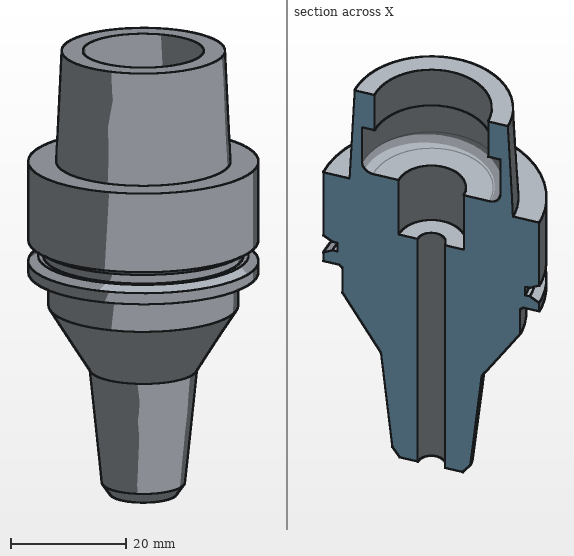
import cadquery as cq
import math

taper_top_z = 20.0
nose_bottom_z = -60.0
flange_bottom_z = -20.0

taper_base_radius = 15.15
taper_top_radius = 14.2

flange_radius = 20.0
groove_radius = 17.4
groove_center_z = -16.1
groove_floor_width = 1.8
groove_mouth_width = 3.8
groove_wall_angle = math.radians(30)
groove_wall_height = (groove_mouth_width - groove_floor_width) / 2
groove_wall_foot_radius = flange_radius - groove_wall_height / math.tan(groove_wall_angle)

collar_radius = 16.5
collar_relief = 0.5
collar_bottom_z = -26.0
nose_top_z = -37.5
nose_top_radius = 9.35
nose_chamfer_z = -58.0
nose_chamfer_radius = 7.25
nose_tip_radius = 5.85

bore_mouth_radius = 10.5
bore_mouth_depth = 8.0
chamber_radius = 12.75
chamber_depth = 17.8
chamber_fillet = 2.0
pilot_radius = 6.0
pilot_depth = 30.0
through_radius = 2.5


def make_body():
    """Revolve the outer profile into a solid body of revolution."""
    profile = [
        (0, taper_top_z),
        (taper_top_radius, taper_top_z),
        (taper_base_radius, 0),
        (flange_radius, 0),
        (flange_radius, groove_center_z + groove_mouth_width / 2),
        (groove_wall_foot_radius, groove_center_z + groove_floor_width / 2),
        (groove_radius, groove_center_z + groove_floor_width / 2),
        (groove_radius, groove_center_z - groove_floor_width / 2),
        (groove_wall_foot_radius, groove_center_z - groove_floor_width / 2),
        (flange_radius, groove_center_z - groove_mouth_width / 2),
        (flange_radius, flange_bottom_z),
        (collar_radius + collar_relief, flange_bottom_z),
        (collar_radius, flange_bottom_z - collar_relief),
        (collar_radius, collar_bottom_z),
        (nose_top_radius, nose_top_z),
        (nose_chamfer_radius, nose_chamfer_z),
        (nose_tip_radius, nose_bottom_z),
        (0, nose_bottom_z),
    ]
    return cq.Workplane("YZ").polyline(profile).close().revolve(360, (0, 0, 0), (0, 1, 0))


def make_bore():
    """Revolve the stepped, undercut bore that runs through the whole part."""
    mouth_end_z = taper_top_z - bore_mouth_depth
    chamber_floor_z = taper_top_z - chamber_depth
    pilot_floor_z = taper_top_z - pilot_depth
    fillet_center_radius = chamber_radius - chamber_fillet
    fillet_center_z = chamber_floor_z + chamber_fillet
    fillet_middle = (
        fillet_center_radius + chamber_fillet * math.sqrt(0.5),
        fillet_center_z - chamber_fillet * math.sqrt(0.5),
    )
    profile = (
        cq.Workplane("YZ")
        .moveTo(0, taper_top_z)
        .lineTo(bore_mouth_radius, taper_top_z)
        .lineTo(bore_mouth_radius, mouth_end_z)
        .lineTo(chamber_radius, mouth_end_z)
        .lineTo(chamber_radius, fillet_center_z)
        .threePointArc(fillet_middle, (fillet_center_radius, chamber_floor_z))
        .lineTo(pilot_radius, chamber_floor_z)
        .lineTo(pilot_radius, pilot_floor_z)
        .lineTo(through_radius, pilot_floor_z)
        .lineTo(through_radius, nose_bottom_z)
        .lineTo(0, nose_bottom_z)
        .close()
    )
    return profile.revolve(360, (0, 0, 0), (0, 1, 0))


result = make_body().cut(make_bore())